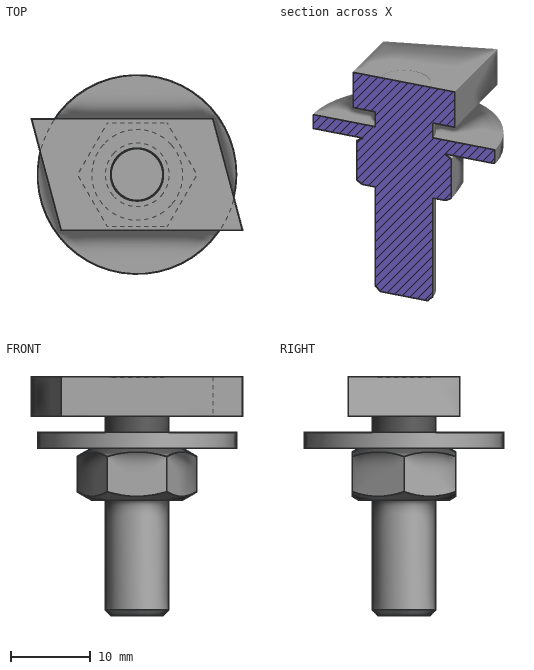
import cadquery as cq
import math

TOTAL_HEIGHT = 30.0

PLATE_LENGTH = 22.0
PLATE_WIDTH = 14.0
PLATE_THICKNESS = 5.0
PLATE_END_ANGLE = math.radians(15.0)
PLATE_HOLE_DIAMETER = 6.647

STUD_DIAMETER = 8.0
STUD_CHAMFER = 0.75
STUD_BOTTOM_Z = PLATE_THICKNESS - TOTAL_HEIGHT

WASHER_DIAMETER = 25.0
WASHER_THICKNESS = 2.0
WASHER_GAP = 2.0
WASHER_BOTTOM_Z = -WASHER_GAP - WASHER_THICKNESS

NUT_ACROSS_FLATS = 13.0
NUT_ACROSS_CORNERS = NUT_ACROSS_FLATS / math.cos(math.radians(30.0))
NUT_HEIGHT = 6.5
NUT_FACE_DIAMETER = 11.4
NUT_CHAMFER_ANGLE = math.radians(30.0)
NUT_ENVELOPE_CLEARANCE = 1.0
NUT_BOTTOM_Z = WASHER_BOTTOM_Z - NUT_HEIGHT


def make_plate():
    """Parallelogram plate with a central hole for the stud."""
    half_width = PLATE_WIDTH / 2
    half_side = PLATE_LENGTH / math.cos(PLATE_END_ANGLE) / 2
    lean = half_width * math.tan(PLATE_END_ANGLE)
    corners = [
        (-half_side - lean, half_width),
        (half_side - lean, half_width),
        (half_side + lean, -half_width),
        (-half_side + lean, -half_width),
    ]
    return (
        cq.Workplane("XY")
        .polyline(corners)
        .close()
        .extrude(PLATE_THICKNESS)
        .faces(">Z")
        .workplane(origin=(0, 0, 0))
        .hole(PLATE_HOLE_DIAMETER)
    )


def make_stud():
    """Round stud, chamfered at both ends, its top flush with the plate.

    The top chamfer ends just inside the plate hole, leaving a fine ring groove.
    """
    return (
        cq.Workplane("XY", origin=(0, 0, STUD_BOTTOM_Z))
        .circle(STUD_DIAMETER / 2)
        .extrude(TOTAL_HEIGHT)
        .faces("<Z or >Z")
        .chamfer(STUD_CHAMFER)
    )


def make_washer():
    """Flat round washer, fused to the stud."""
    return (
        cq.Workplane("XY", origin=(0, 0, WASHER_BOTTOM_Z))
        .circle(WASHER_DIAMETER / 2)
        .extrude(WASHER_THICKNESS)
    )


def make_nut():
    """Hexagon with two corners on the X axis, both ends turned to a cone."""
    hexagon = (
        cq.Workplane("XY", origin=(0, 0, NUT_BOTTOM_Z))
        .polygon(6, NUT_ACROSS_CORNERS)
        .extrude(NUT_HEIGHT)
    )
    face_radius = NUT_FACE_DIAMETER / 2
    outer_radius = NUT_ACROSS_CORNERS / 2 + NUT_ENVELOPE_CLEARANCE
    cone_height = (outer_radius - face_radius) * math.tan(NUT_CHAMFER_ANGLE)
    envelope = (
        cq.Workplane("XZ")
        .moveTo(0, NUT_BOTTOM_Z)
        .lineTo(face_radius, NUT_BOTTOM_Z)
        .lineTo(outer_radius, NUT_BOTTOM_Z + cone_height)
        .lineTo(outer_radius, WASHER_BOTTOM_Z - cone_height)
        .lineTo(face_radius, WASHER_BOTTOM_Z)
        .lineTo(0, WASHER_BOTTOM_Z)
        .close()
        .revolve(360, (0, 0, 0), (0, 1, 0))
    )
    return hexagon.intersect(envelope)


result = make_plate().union(make_stud()).union(make_washer()).union(make_nut())